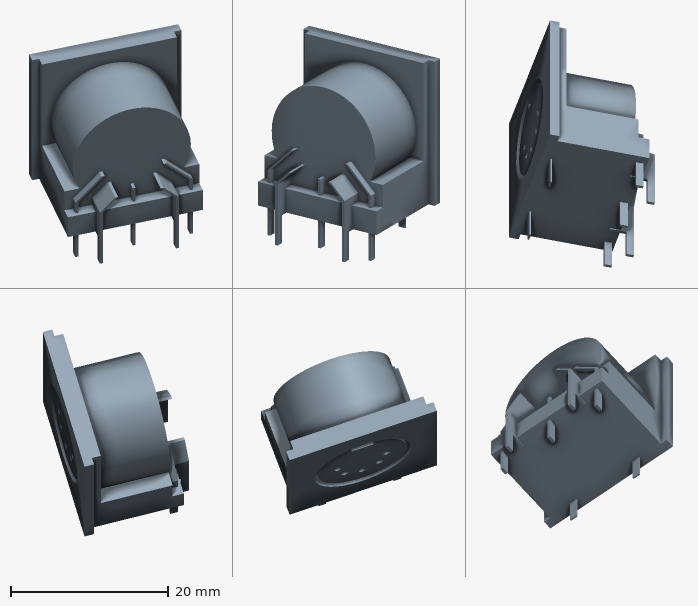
import cadquery as cq
import math


front_size = 19.9
front_thickness = 1.25
body_width = 18.0
flange_rear = 2.42
shell_diameter = 15.75
shell_rear = 11.9
axis_height = front_size / 2
shoulder_height = 6.4
base_height = 3.28
base_rear = 13.37

bore_diameter = 13.0
bore_floor = 10.7
insert_diameter = 12.0
insert_front = 0.25
key_width = 3.05
key_floor = 4.8
contact_hole_diameter = 1.0
contact_circle_radius = 3.3
contact_angles = [180, 225, 270, 315, 360]

leg_length = 3.99
strip_thickness = 0.4
strip_width = 1.0
outer_strip_offset = 7.85
outer_strip_top = 8.5
outer_strip_slope = 3.5
inner_strip_offset = 5.27
inner_strip_top = 6.5
inner_strip_slope = 2.04
inner_strip_bottom = -0.15
inner_strip_rear = 15.1
centre_strip_top = 5.5
front_leg_spacing = 10.16
front_leg_width = 1.03
front_leg_thickness = 0.2


def block(x_start, x_end, width, z_start, z_end, y_centre=0):
    """Box between two X and two Z positions, centred across Y."""
    box = cq.Workplane("XY").box(x_end - x_start, width, z_end - z_start, centered=(False, True, False))
    return box.translate((x_start, y_centre, z_start))


def rod(x_start, x_end, diameter, y=0, z=axis_height):
    """Cylinder along X."""
    circle = cq.Workplane("YZ", origin=(x_start, y, z)).circle(diameter / 2)
    return circle.extrude(x_end - x_start)


def bent_strip(x_end, outer_face, top, slope, bottom, side):
    """Terminal strip: a vertical run, then a 45 degree run inward and up to the contact."""
    inner_face = outer_face - strip_thickness
    outline = [
        (outer_face, bottom),
        (outer_face, top - slope),
        (outer_face - slope, top),
        (inner_face - slope, top),
        (inner_face, top - slope),
        (inner_face, bottom),
    ]
    profile = cq.Workplane("YZ", origin=(shell_rear, 0, 0))
    profile = profile.polyline([(side * y, z) for y, z in outline]).close()
    return profile.extrude(x_end - shell_rear)


def make_shell():
    shell = block(0, front_thickness, front_size, 0, front_size)
    shell = shell.union(block(0, flange_rear, body_width, 0, front_size))
    shell = shell.union(rod(0, shell_rear, shell_diameter))
    shell = shell.union(block(0, shell_rear, body_width, 0, shoulder_height))
    shell = shell.union(block(0, base_rear, body_width, 0, base_height))
    return shell.cut(rod(0, bore_floor, bore_diameter))


def make_terminals():
    strip_rear = shell_rear + strip_width
    terminals = [block(shell_rear, strip_rear, strip_thickness, -leg_length, centre_strip_top)]
    for side in (-1, 1):
        terminals.append(
            bent_strip(strip_rear, outer_strip_offset, outer_strip_top, outer_strip_slope, -leg_length, side)
        )
        terminals.append(
            bent_strip(
                inner_strip_rear, inner_strip_offset, inner_strip_top, inner_strip_slope, inner_strip_bottom, side
            )
        )
        inner_leg_y = side * (inner_strip_offset - strip_thickness / 2)
        leg_front = inner_strip_rear - strip_width
        terminals.append(block(leg_front, inner_strip_rear, strip_thickness, -leg_length, 0, inner_leg_y))
        front_leg_y = side * front_leg_spacing / 2
        front_leg_rear = front_thickness + front_leg_thickness
        terminals.append(block(front_thickness, front_leg_rear, front_leg_width, -leg_length, 0, front_leg_y))
    return terminals


def make_housing():
    """Moulded shell with its terminals fixed in it."""
    body = make_shell()
    for terminal in make_terminals():
        body = body.union(terminal)
    return body


def make_insert():
    """Round contact carrier with a keyway on top and five contact holes."""
    carrier = rod(insert_front, bore_floor, insert_diameter)
    key_bottom = axis_height + key_floor
    key_top = axis_height + insert_diameter / 2
    carrier = carrier.cut(block(insert_front, bore_floor, key_width, key_bottom, key_top))
    for angle in contact_angles:
        y = contact_circle_radius * math.cos(math.radians(angle))
        z = axis_height + contact_circle_radius * math.sin(math.radians(angle))
        carrier = carrier.cut(rod(insert_front, bore_floor, contact_hole_diameter, y, z))
    return carrier


housing = make_housing()
insert = make_insert()

result = cq.Compound.makeCompound([housing.solids().val(), insert.solids().val()])